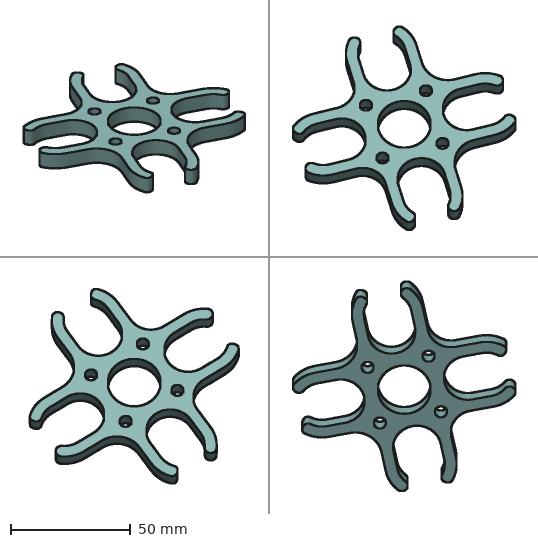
import cadquery as cq
import math

overall_size = 90.7
thickness = 7.0
slot_radius = 10.0
arm_width = 5.0
slot_center_offset = 27.0
straight_end = 35.0
corner_radius = 10.0
wide_corner_radius = 11.1
center_bore_diameter = 22.0
mount_hole_diameter = 5.0
mount_hole_offset = 13.0

right_tip_flat = 0.7
left_tip_flat = 0.0
arm_outer = slot_radius + arm_width


def curl_point(radius, angle, side):
    """Point on a fingertip arc; side is +1 or -1 for the two fingers of a slot."""
    return side * radius * math.cos(angle), straight_end + radius * math.sin(angle)


def finger(side, tip_flat):
    """One finger along +Y, with its half of the slot and its root at the plate centre."""
    tip_radius = (arm_width - tip_flat) / 2
    outer_tip_center = arm_outer - tip_radius
    inner_tip_center = slot_radius + tip_radius
    curl_angle = math.asin((overall_size / 2 - tip_radius - straight_end) / outer_tip_center)

    def tip_point(center_radius, direction):
        x, y = curl_point(center_radius, curl_angle, side)
        return x + side * tip_radius * math.cos(direction), y + tip_radius * math.sin(direction)

    end_direction = curl_angle + math.pi / 2
    outer_middle = curl_angle + math.pi / 4
    inner_middle = curl_angle + 3 * math.pi / 4
    floor_middle = slot_radius * math.sqrt(0.5)
    outline = (
        cq.Workplane("XY")
        .lineTo(side * arm_outer, arm_outer)
        .lineTo(side * arm_outer, straight_end)
        .threePointArc(
            curl_point(arm_outer, curl_angle / 2, side), curl_point(arm_outer, curl_angle, side)
        )
        .threePointArc(
            tip_point(outer_tip_center, outer_middle), tip_point(outer_tip_center, end_direction)
        )
    )
    if tip_flat > 0:
        outline = outline.lineTo(*tip_point(inner_tip_center, end_direction))
    return (
        outline.threePointArc(
            tip_point(inner_tip_center, inner_middle), curl_point(slot_radius, curl_angle, side)
        )
        .threePointArc(curl_point(slot_radius, curl_angle / 2, side), (side * slot_radius, straight_end))
        .lineTo(side * slot_radius, slot_center_offset)
        .threePointArc(
            (side * floor_middle, slot_center_offset - floor_middle),
            (0, slot_center_offset - slot_radius),
        )
        .close()
        .extrude(thickness)
    )


def corner_web(radius):
    """Material filling the concave corner between the +X and +Y arms."""
    fillet_end = arm_outer + radius
    fillet_middle = fillet_end - radius * math.sqrt(0.5)
    return (
        cq.Workplane("XY")
        .lineTo(fillet_end, arm_outer)
        .threePointArc((fillet_middle, fillet_middle), (arm_outer, fillet_end))
        .close()
        .extrude(thickness)
    )


gripper = finger(1, right_tip_flat).union(finger(-1, left_tip_flat))

web_radii = [wide_corner_radius, corner_radius, corner_radius, wide_corner_radius]
plate = cq.Workplane("XY")
for quarter, web_radius in enumerate(web_radii):
    sector = gripper.union(corner_web(web_radius))
    plate = plate.add(sector.rotate((0, 0, 0), (0, 0, 1), 90 * quarter))
plate = plate.combine()
plate = plate.clean()

plate = plate.faces(">Z").workplane(origin=(0, 0, 0)).hole(center_bore_diameter)
result = (
    plate.faces(">Z")
    .workplane(origin=(0, 0, 0))
    .rect(2 * mount_hole_offset, 2 * mount_hole_offset, forConstruction=True)
    .vertices()
    .hole(mount_hole_diameter)
)